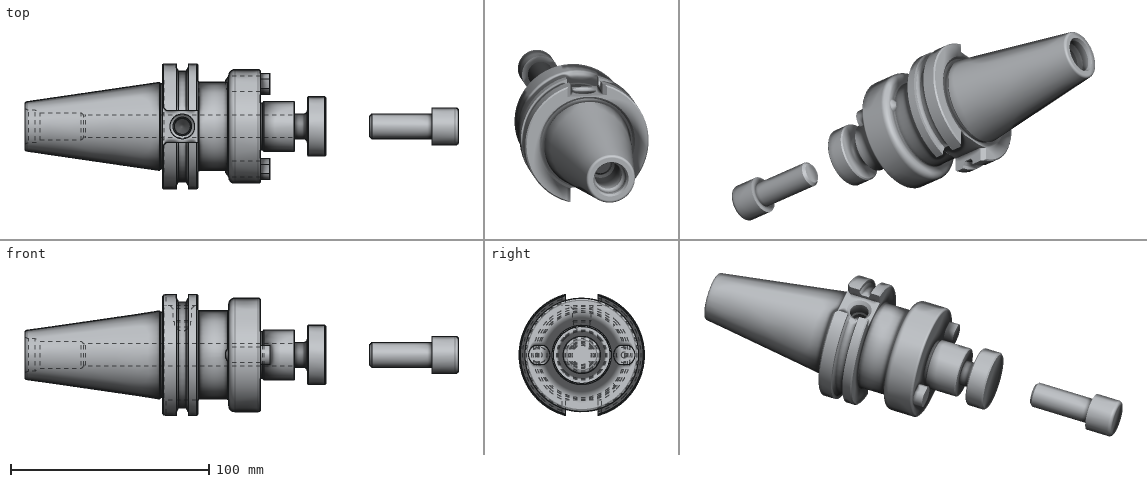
import cadquery as cq
import math

gauge_x = 67.9
collar_start_x = 69.5
collar_end_x = 87.4
groove_floor_start_x = 77.5
groove_floor_end_x = 81.5
flange_start_x = 103.0
flange_end_x = 119.0
pilot_end_x = 136.2
disc_start_x = 142.5
disc_end_x = 152.0
bolt_start_x = 173.9
bolt_head_x = 205.4
bolt_end_x = 219.0

gauge_radius = 22.22
taper_slope = 7 / 48
taper_end_fillet = 1.3
relief_depth = 0.7
recess_mouth_radius = 24.5
recess_floor_radius = 23.5
recess_depth = 0.9
collar_diameter = 63.3
collar_radius = collar_diameter / 2
collar_edge_chamfer = 0.7
groove_floor_radius = 28.0
groove_lip_depth = 1.8
groove_wall_angle = 30.0
neck_radius = 22.3
neck_fillet = 0.7
flange_radius = 28.7
flange_back_fillet = 3.0
flange_front_fillet = 1.0
pilot_radius = 25.5 / 2
pilot_chamfer = 0.5
undercut_radius = 23.9 / 2
undercut_floor_length = 1.0

bore_mouth_radius = 9.0
counterbore_radius = 16.5 / 2
bore_mouth_depth = 1.8
counterbore_depth = 5.3
thread_radius = 13.8 / 2
thread_start_depth = 7.7
thread_end_depth = 28.5

slot_width = 16.2
slot_entry_chamfer = 2.0
upper_slot_floor_z = 25.0
lower_slot_floor_z = -22.8
dimple_mouth_diameter = 12.5
dimple_thread_diameter = 9.5
dimple_drill_diameter = 8.0
dimple_thread_depth = 7.7
dimple_depth = 11.0
drill_point_angle = 118.0

key_offset = 21.5
key_head_diameter = 10.7
key_head_width = 9.6
key_head_length = 4.8
key_shank_diameter = 7.9
key_tip_diameter = 3.0
key_tip_length = 1.8

clamp_shank_radius = 11.4 / 2
clamp_tip_radius = 9.6 / 2
clamp_neck_radius = 12.7 / 2
clamp_neck_fillet = 1.8
disc_radius = 15.0
disc_chamfer = 0.7

bolt_shank_radius = 12.7 / 2
bolt_tip_radius = 10.0 / 2
bolt_head_radius = 18.8 / 2
bolt_head_fillet = 1.8

bore_end_x = thread_end_depth + thread_radius - clamp_shank_radius


def turned(points):
    """Revolve an outline of (x, radius) points about the X axis."""
    return cq.Workplane("XY").polyline(points).close().revolve(360, (0, 0, 0), (1, 0, 0))


def rod(radius, start_x, end_x):
    """Round bar on the X axis."""
    return turned([(start_x, 0), (end_x, 0), (end_x, radius), (start_x, radius)])


def shank():
    """Taper and the relief groove that ends at the floor of the collar's recess."""
    end_radius = gauge_radius - gauge_x * taper_slope
    relief_radius = gauge_radius - relief_depth
    recess_x = collar_start_x + recess_depth
    taper = turned([
        (0, 0),
        (0, end_radius),
        (gauge_x, gauge_radius),
        (gauge_x + relief_depth, relief_radius),
        (recess_x, relief_radius),
        (recess_x, 0),
    ])
    return taper.edges("<X").fillet(taper_end_fillet)


def driving_slot(floor_z, outward):
    """Cutter for one slot, open away from the axis, widened at the collar's taper-side face."""
    half_width = slot_width / 2
    wide_half = half_width + slot_entry_chamfer
    entry_x = collar_start_x + slot_entry_chamfer
    outline = [
        (collar_start_x, -wide_half),
        (entry_x, -half_width),
        (collar_end_x, -half_width),
        (collar_end_x, half_width),
        (entry_x, half_width),
        (collar_start_x, wide_half),
    ]
    plane = cq.Workplane("XY").workplane(offset=floor_z)
    return plane.polyline(outline).close().extrude(outward * collar_radius)


def slot_dimple():
    """Countersunk, stepped and drill-pointed hole in the upper slot floor."""
    mouth = dimple_mouth_diameter / 2
    thread = dimple_thread_diameter / 2
    drill = dimple_drill_diameter / 2
    point_length = drill / math.tan(math.radians(drill_point_angle / 2))
    outline = [
        (0, 0),
        (mouth, 0),
        (thread, thread - mouth),
        (thread, -dimple_thread_depth),
        (drill, -dimple_thread_depth - (thread - drill)),
        (drill, -dimple_depth),
        (0, -dimple_depth - point_length),
    ]
    cutter = cq.Workplane("XZ").polyline(outline).close().revolve(360, (0, 0, 0), (0, 1, 0))
    centre_x = (groove_floor_start_x + groove_floor_end_x) / 2
    return cutter.translate((centre_x, 0, upper_slot_floor_z))


def collar():
    """Grooved gripper collar with its driving slots and the recess in its taper-side face."""
    lip_radius = collar_radius - groove_lip_depth
    wall_run = (lip_radius - groove_floor_radius) * math.tan(math.radians(groove_wall_angle))
    groove = turned([
        (groove_floor_start_x, groove_floor_radius),
        (groove_floor_start_x - wall_run, lip_radius),
        (groove_floor_start_x - wall_run, collar_radius),
        (groove_floor_end_x + wall_run, collar_radius),
        (groove_floor_end_x + wall_run, lip_radius),
        (groove_floor_end_x, groove_floor_radius),
    ])
    recess_x = collar_start_x + recess_depth
    recess = turned([
        (collar_start_x, 0),
        (collar_start_x, recess_mouth_radius),
        (recess_x, recess_floor_radius),
        (recess_x, 0),
    ])
    ring = rod(collar_radius, collar_start_x, collar_end_x).edges().chamfer(collar_edge_chamfer)
    ring = ring.cut(groove).cut(recess)
    ring = ring.cut(driving_slot(upper_slot_floor_z, 1))
    return ring.cut(driving_slot(lower_slot_floor_z, -1))


def neck():
    """Plain neck, filleted into the collar and the drive flange."""
    root_radius = neck_radius + neck_fillet
    outline = (
        cq.Workplane("XY")
        .moveTo(collar_end_x, 0)
        .lineTo(collar_end_x, root_radius)
        .radiusArc((collar_end_x + neck_fillet, neck_radius), -neck_fillet)
        .lineTo(flange_start_x - neck_fillet, neck_radius)
        .radiusArc((flange_start_x, root_radius), -neck_fillet)
        .lineTo(flange_start_x, 0)
        .close()
    )
    return outline.revolve(360, (0, 0, 0), (1, 0, 0))


def flange():
    """Drive flange, rounded at both rims."""
    disc = rod(flange_radius, flange_start_x, flange_end_x)
    disc = disc.edges("<X").fillet(flange_back_fillet)
    return disc.edges(">X").fillet(flange_front_fillet)


def pilot():
    """Cutter pilot with an undercut where it leaves the flange."""
    undercut_end_x = flange_end_x + undercut_floor_length
    return turned([
        (flange_end_x, 0),
        (flange_end_x, undercut_radius),
        (undercut_end_x, undercut_radius),
        (undercut_end_x + pilot_radius - undercut_radius, pilot_radius),
        (pilot_end_x - pilot_chamfer, pilot_radius),
        (pilot_end_x, pilot_radius - pilot_chamfer),
        (pilot_end_x, 0),
    ])


def axial_bore():
    """Stepped pull-stud bore, narrowing to the hole that holds the clamp screw."""
    return turned([
        (0, 0),
        (0, bore_mouth_radius),
        (bore_mouth_depth, counterbore_radius),
        (counterbore_depth, counterbore_radius),
        (thread_start_depth, thread_radius),
        (thread_end_depth, thread_radius),
        (bore_end_x, clamp_shank_radius),
        (pilot_end_x, clamp_shank_radius),
        (pilot_end_x, 0),
    ])


def make_drive_key(side):
    """Flatted round key head on a shank that passes through the flange; side is +1 or -1 in Y."""
    head = rod(key_head_diameter / 2, flange_end_x, flange_end_x + key_head_length)
    flats = cq.Workplane("XY").box(2 * pilot_end_x, key_head_diameter, key_head_width)
    shank_radius = key_shank_diameter / 2
    stem = turned([
        (flange_end_x, 0),
        (flange_end_x, shank_radius),
        (flange_start_x, shank_radius),
        (flange_start_x - key_tip_length, key_tip_diameter / 2),
        (flange_start_x - key_tip_length, 0),
    ])
    return head.intersect(flats).union(stem).translate((0, side * key_offset, 0))


def make_clamp_screw():
    """Disc-headed screw held in the pilot, its neck bearing on the pilot's end face."""
    tip_chamfer = clamp_shank_radius - clamp_tip_radius
    stem = rod(clamp_shank_radius, bore_end_x, pilot_end_x).edges("<X").chamfer(tip_chamfer)
    fillet_outline = (
        cq.Workplane("XY")
        .moveTo(pilot_end_x, 0)
        .lineTo(pilot_end_x, clamp_neck_radius)
        .lineTo(disc_start_x - clamp_neck_fillet, clamp_neck_radius)
        .radiusArc((disc_start_x, clamp_neck_radius + clamp_neck_fillet), -clamp_neck_fillet)
        .lineTo(disc_start_x, 0)
        .close()
    )
    neck_part = fillet_outline.revolve(360, (0, 0, 0), (1, 0, 0))
    disc = rod(disc_radius, disc_start_x, disc_end_x).edges().chamfer(disc_chamfer)
    return stem.union(neck_part).union(disc)


def make_cap_screw():
    """Loose cap screw on the tool axis."""
    stem = rod(bolt_shank_radius, bolt_start_x, bolt_head_x)
    stem = stem.edges("<X").chamfer(bolt_shank_radius - bolt_tip_radius)
    head = rod(bolt_head_radius, bolt_head_x, bolt_end_x).edges(">X").fillet(bolt_head_fillet)
    return stem.union(head)


def make_holder(keys):
    """Tool holder, with a matching hole for each drive key shank."""
    body = shank().union(collar()).union(neck()).union(flange()).union(pilot())
    body = body.cut(axial_bore()).cut(slot_dimple())
    for key in keys:
        body = body.cut(key)
    return body


drive_keys = [make_drive_key(side) for side in (1, -1)]
holder = make_holder(drive_keys)
clamp_screw = make_clamp_screw()
cap_screw = make_cap_screw()

result = cq.Compound.makeCompound([
    holder.val(),
    *[key.val() for key in drive_keys],
    clamp_screw.val(),
    cap_screw.val(),
])